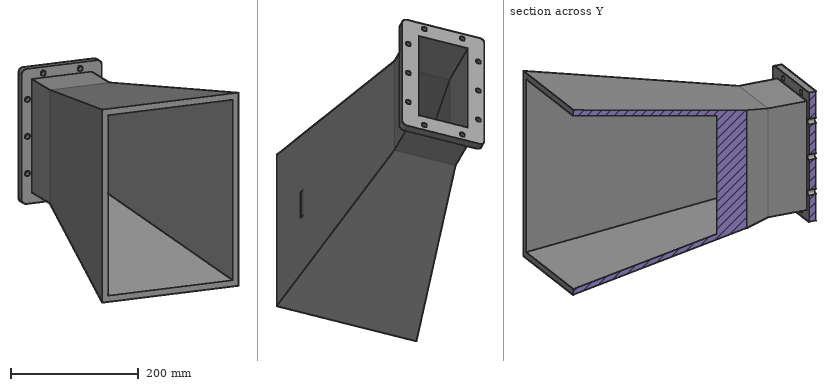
import cadquery as cq
import math

length = 425.0
mouth_y = 235.0
mouth_z = 315.0

bore_y = 82.5
bore_z = 2 * bore_y
wall = 10.0
neck_y = bore_y + 2 * wall
neck_z = bore_z + 2 * wall
flare_start = 80.5

flange_y = 138.0
flange_z = 220.0
flange_thickness = 12.8
flange_corner_radius = 8.5

hole_diameter = 8.5
edge_inset = 10.0
short_edge_half_pitch = 32.0
long_edge_pitch = 60.5

recess_floor_y = 103.0
recess_length = 7.0
recess_height = 52.3


def block(x_start, x_end, size_y, size_z):
    """Rectangular bar along X, centred on the horn axis."""
    return cq.Workplane("YZ", origin=(x_start, 0, 0)).rect(size_y, size_z).extrude(x_end - x_start)


def flare(start_y, start_z, end_y, end_z):
    """Straight-sided taper from the neck to the mouth."""
    return (
        cq.Workplane("YZ", origin=(flare_start, 0, 0))
        .rect(start_y, start_z)
        .workplane(offset=length - flare_start)
        .rect(end_y, end_z)
        .loft(ruled=True, combine=True)
    )


def bolt_positions():
    short_edge_z = flange_z / 2 - edge_inset
    long_edge_y = flange_y / 2 - edge_inset
    points = []
    for side in (-1, 1):
        for end in (-1, 1):
            points.append((side * short_edge_half_pitch, end * short_edge_z))
        for row in (-1, 0, 1):
            points.append((side * long_edge_y, row * long_edge_pitch))
    return points


flange = block(0, flange_thickness, flange_y, flange_z).edges("|X").fillet(flange_corner_radius)
bolt_holes = (
    cq.Workplane("YZ")
    .pushPoints(bolt_positions())
    .circle(hole_diameter / 2)
    .extrude(flange_thickness)
)

neck = block(0, flare_start, neck_y, neck_z)
horn = flare(neck_y, neck_z, mouth_y, mouth_z)

flare_length = length - flare_start
slope_y = math.atan2((mouth_y - neck_y) / 2, flare_length)
slope_z = math.atan2((mouth_z - neck_z) / 2, flare_length)
mouth_bore_y = mouth_y - 2 * wall / math.cos(slope_y)
mouth_bore_z = mouth_z - 2 * wall / math.cos(slope_z)

neck_bore = block(0, flare_start, bore_y, bore_z)
horn_bore = flare(bore_y, bore_z, mouth_bore_y, mouth_bore_z)

body = flange.cut(bolt_holes).union(neck).union(horn)

recess_start = flare_start + (recess_floor_y - neck_y / 2) / math.tan(slope_y)
recess_depth = mouth_y / 2 - recess_floor_y
recess = block(recess_start, recess_start + recess_length, recess_depth, recess_height)
recess = recess.translate((0, recess_floor_y + recess_depth / 2, 0))

result = body.cut(neck_bore).cut(horn_bore).cut(recess)